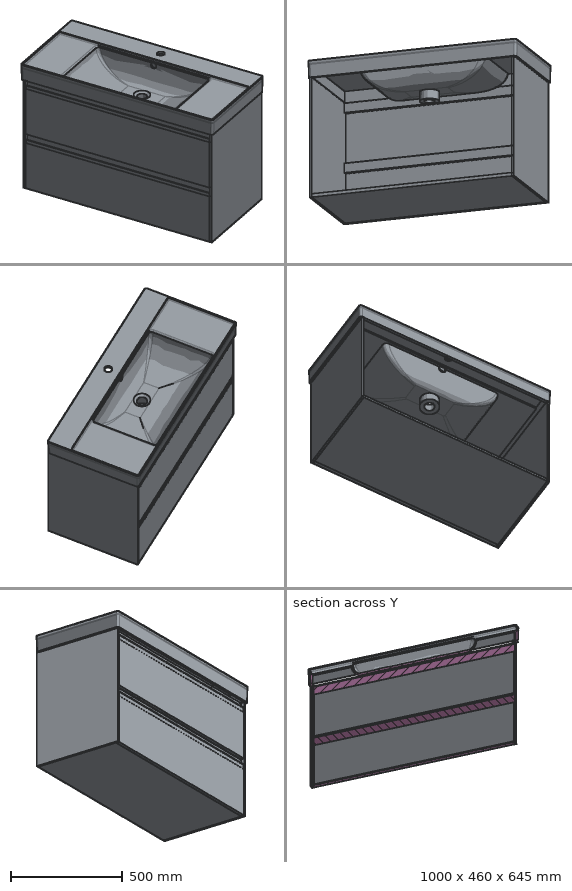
import cadquery as cq
import math


width = 1000.0
depth = 460.0
height = 645.0
front_y = -depth / 2
back_y = depth / 2

basin_height = 80.0
skirt_z = height - basin_height
rim_height = 14.5
rim_edge_chamfer = 2.5
corner_radius = 10.0
ledge_height = 4.0
ledge_inset = 0.7
skirt_inset = 2.0
shell_wall = 12.0
bowl_wall = 7.0

sink_depth = 9.5
counter_z = height - sink_depth
rim_width = 7.0
counter_width = width - 2 * rim_width
counter_front = front_y + rim_width
counter_back = 111.0
counter_corner = 8.0
counter_floor_fillet = 4.5
counter_edge_chamfer = 2.0

floor_z = 516.0
floor_half_width = 96.0
floor_front = -37.0
floor_back = 40.0
floor_corner = 1.0
bowl_half_width = 293.0
bowl_setback = counter_floor_fillet + 2.0
bowl_front = counter_front + bowl_setback
bowl_back = counter_back - bowl_setback
bowl_corner = 14.0
bowl_steps = 6
lip_flare = 10.0
lip_drop = 8.0
lip_steps = 3
lip_margin = 1.5

tap_y = 170.0
tap_radius = 18.0
drain_radius = 23.0
drain_funnel_radius = 38.0
drain_funnel_depth = 8.0
drain_length = 50.0
drain_bottom = floor_z - drain_length
drain_neck_radius = drain_funnel_radius + bowl_wall
overflow_radius = 14.0
overflow_z = 616.0
overflow_depth = 20.0
overflow_boss_radius = overflow_radius + 4.0
overflow_boss_wall = 5.0

cabinet_width = 980.0
cabinet_front = front_y + 10.0
panel_thickness = 10.0
inner_width = cabinet_width - 2 * panel_thickness
drawer_count = 2
drawer_pitch = skirt_z / drawer_count
grip_opening = 29.5
drawer_side_gap = 2.0
drawer_thickness = 16.0
drawer_lip = 5.0
finger_groove_depth = 20.0
drawer_back = cabinet_front + drawer_thickness
rail_top_gap = 3.0
rail_height = 45.0
rail_thickness = 10.0
base_thickness = 16.0


def block(x_size, y_low, y_high, z_low, z_high):
    """Box centred on X = 0 between the given Y and Z limits."""
    return (
        cq.Workplane("XY", origin=(0, (y_low + y_high) / 2, z_low))
        .rect(x_size, y_high - y_low)
        .extrude(z_high - z_low)
    )


def rounded_outline(half_width, y_low, y_high, radius, z):
    """Closed wire of a round-cornered rectangle lying at height z."""
    slab_height = 1.0
    slab = block(2 * half_width, y_low, y_high, z, z + slab_height).edges("|Z").fillet(radius)
    return slab.faces("<Z").wires().val()


def loft(outlines, ruled=False):
    """Solid through a stack of outlines."""
    return cq.Workplane(cq.Solid.makeLoft(outlines, ruled))


def bowl_form(growth):
    """Bowl with quarter-ellipse walls, enlarged outward and downward by growth."""
    outlines = []
    for step in range(bowl_steps + 1):
        angle = math.pi / 2 * step / bowl_steps
        spread = math.sin(angle)
        rise = 1 - math.cos(angle)
        outlines.append(
            rounded_outline(
                floor_half_width + (bowl_half_width - floor_half_width) * spread + growth,
                floor_front + (bowl_front - floor_front) * spread - growth,
                floor_back + (bowl_back - floor_back) * spread + growth,
                floor_corner + (bowl_corner - floor_corner) * spread + growth,
                floor_z + (counter_z - floor_z) * rise - growth,
            )
        )
    return loft(outlines)


def basin_outline(inset, z):
    """Outer outline of the basin, pulled in by inset, at height z."""
    return rounded_outline(width / 2 - inset, front_y + inset, back_y - inset, corner_radius, z)


def lip_form():
    """Opening that flares outward in a convex curve up to the counter."""
    outlines = []
    for step in range(lip_steps + 1):
        angle = math.pi / 2 * step / lip_steps
        flare = 1 - math.cos(angle)
        rise = math.sin(angle)
        outlines.append(
            rounded_outline(
                bowl_half_width + lip_flare * flare,
                bowl_front - lip_margin * flare,
                bowl_back + lip_margin * flare,
                bowl_corner,
                counter_z - lip_drop * (1 - rise),
            )
        )
    return loft(outlines)


def counter_outline(growth, z):
    """Outline of the sunken counter, enlarged by growth, at height z."""
    return rounded_outline(
        counter_width / 2 + growth,
        counter_front - growth,
        counter_back + growth,
        counter_corner + growth,
        z,
    )


def counter_form():
    """Sunken counter with a rounded floor edge and a chamfered top edge."""
    counter = block(counter_width, counter_front, counter_back, counter_z, height)
    counter = counter.edges("|Z").fillet(counter_corner)
    counter = counter.faces("<Z").edges().fillet(counter_floor_fillet)
    chamfer_z = height - counter_edge_chamfer
    top_edge = loft(
        [
            counter_outline(0, chamfer_z),
            counter_outline(counter_edge_chamfer, height),
        ],
        ruled=True,
    )
    return counter.union(top_edge)


def overflow_cylinder(radius, length):
    """Cylinder running back from the middle of the bowl's rear wall."""
    return (
        cq.Workplane("XZ", origin=(0, bowl_back - overflow_radius, overflow_z))
        .circle(radius)
        .extrude(-length)
    )


def make_basin_shell():
    """Basin with its rim, skirt, hollow underside, counter and bowl, before the tap and waste holes."""
    rim_z = height - rim_height
    rim = loft([basin_outline(0, rim_z), basin_outline(0, height)], ruled=True)
    rim = rim.faces(">Z").edges().chamfer(rim_edge_chamfer)

    ledge_z = rim_z - ledge_height
    skirt = loft(
        [basin_outline(skirt_inset, skirt_z), basin_outline(ledge_inset, ledge_z), basin_outline(0, rim_z)],
        ruled=True,
    )
    basin = rim.union(skirt)

    inset = skirt_inset + shell_wall
    hollow_width = width - 2 * inset
    hollow_back = back_y - inset
    deck_hollow_front = counter_back + shell_wall
    basin = basin.cut(block(hollow_width, front_y + inset, hollow_back, skirt_z, counter_z - shell_wall))
    basin = basin.cut(block(hollow_width, deck_hollow_front, hollow_back, skirt_z, height - shell_wall))

    neck = cq.Workplane("XY", origin=(0, 0, drain_bottom)).circle(drain_neck_radius).extrude(drain_length)
    basin = basin.union(bowl_form(bowl_wall)).union(neck)

    basin = basin.union(overflow_cylinder(overflow_boss_radius, overflow_depth + overflow_boss_wall))

    return basin.cut(counter_form()).cut(bowl_form(0)).cut(lip_form())


def drill_basin(basin):
    """Basin with its tap, drain and overflow holes cut."""
    tap_hole = cq.Workplane("XY", origin=(0, tap_y, skirt_z)).circle(tap_radius).extrude(basin_height)
    basin = basin.cut(tap_hole)

    drain = cq.Workplane("XY", origin=(0, 0, drain_bottom)).circle(drain_radius).extrude(drain_length)
    funnel = cq.Workplane(
        cq.Solid.makeCone(
            drain_radius,
            drain_funnel_radius,
            drain_funnel_depth,
            cq.Vector(0, 0, floor_z - drain_funnel_depth),
        )
    )
    return basin.cut(drain).cut(funnel).cut(overflow_cylinder(overflow_radius, overflow_depth))


def make_side_panel(side):
    """Side panel of the cabinet; side is -1 for left and +1 for right."""
    panel = block(panel_thickness, cabinet_front, back_y, 0, skirt_z)
    return panel.translate((side * (cabinet_width - panel_thickness) / 2, 0, 0))


def make_drawer_front(bottom_z):
    """Drawer front thinned to a lip at the top, leaving a finger groove behind it."""
    top_z = bottom_z + drawer_pitch - grip_opening
    drawer_width = inner_width - 2 * drawer_side_gap
    front = block(drawer_width, cabinet_front, drawer_back, bottom_z, top_z)
    groove = block(drawer_width, cabinet_front + drawer_lip, drawer_back, top_z - finger_groove_depth, top_z)
    return front.cut(groove)


def make_grip_rail(bottom_z):
    """Rail closing the finger opening above a drawer front."""
    top_z = bottom_z + drawer_pitch - rail_top_gap
    return block(inner_width, drawer_back, drawer_back + rail_thickness, top_z - rail_height, top_z)


def make_base_panel():
    """Cabinet floor between the side panels, behind the drawer fronts."""
    return block(inner_width, drawer_back, back_y, 0, base_thickness)


basin = drill_basin(make_basin_shell())
side_panels = [make_side_panel(side) for side in (-1, 1)]
drawer_bottoms = [index * drawer_pitch for index in range(drawer_count)]
drawer_fronts = [make_drawer_front(bottom_z) for bottom_z in drawer_bottoms]
grip_rails = [make_grip_rail(bottom_z) for bottom_z in drawer_bottoms]
base_panel = make_base_panel()

bodies = [basin, *side_panels, *drawer_fronts, *grip_rails, base_panel]
result = cq.Compound.makeCompound([body.solids().val() for body in bodies])